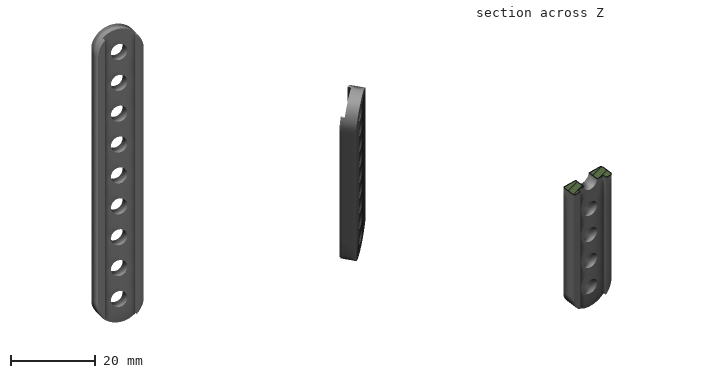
import cadquery as cq

length = 76.0
width = 12.0
thickness = 4.0

floor_thickness = 3.05
channel_width = 8.0
rail_end_setback = 1.8

bevel_depth = 0.5
bevel_width = 0.2

rim_depth = 0.3
rim_inset = 0.3

hole_count = 9
hole_diameter = 4.1
hole_pitch = (length - width) / (hole_count - 1)


def rounded_bar():
    """Bar with full-round ends, starting at X = 0, chamfered around its +X rim."""
    blank = cq.Workplane("YZ").slot2D(length, width, 90).extrude(thickness)
    return blank.faces(">X").edges().chamfer(rim_depth, rim_inset)


def bevelled_envelope():
    """Straight prism whose bevelled section trims the bar's long corners."""
    half_width = width / 2
    inner_half = half_width - bevel_width
    section = [
        (0, -inner_half),
        (bevel_depth, -half_width),
        (thickness - bevel_depth, -half_width),
        (thickness, -inner_half),
        (thickness, inner_half),
        (thickness - bevel_depth, half_width),
        (bevel_depth, half_width),
        (0, inner_half),
    ]
    return cq.Workplane("XY").polyline(section).close().extrude(length / 2, both=True)


def channel():
    """Full-length channel plus the square setback at both rail ends."""
    depth = thickness - floor_thickness
    face = cq.Workplane("YZ").workplane(offset=floor_thickness)
    groove = face.rect(channel_width, length).extrude(depth)
    end_centre = (length - rail_end_setback) / 2
    ends = (
        face.pushPoints([(0, -end_centre), (0, end_centre)])
        .rect(width, rail_end_setback)
        .extrude(depth)
    )
    return groove.union(ends)


def holes():
    """Evenly spaced cylinders through the full thickness."""
    return (
        cq.Workplane("YZ")
        .rarray(0.75, hole_pitch, 1, hole_count)
        .circle(hole_diameter / 2)
        .extrude(thickness)
    )


bar = rounded_bar().intersect(bevelled_envelope()).cut(channel()).cut(holes())
result = bar.translate((-thickness / 2, 0, 0))